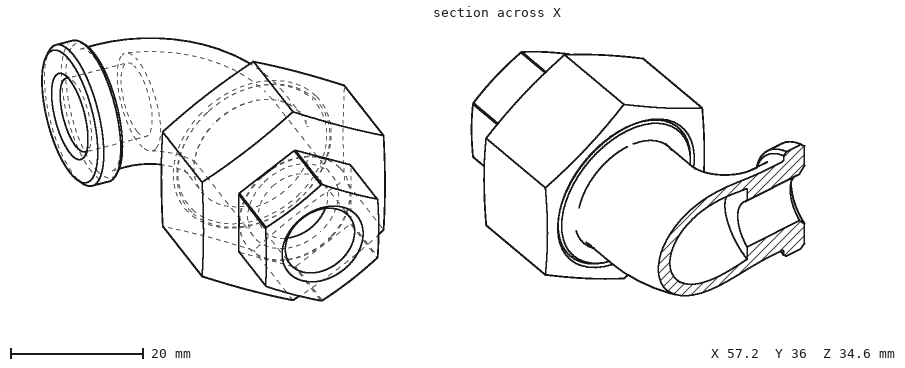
import cadquery as cq
import math

RUN_END_X = 46.2
BRANCH_END = 21.0

PIPE_RADIUS = 9.5
PASSAGE_RADIUS = 7.5
BEND_RADIUS = 14.0
WELD_FILLET = 0.35

COLLAR_RADIUS = 11.0
COLLAR_LENGTH = 4.0
COLLAR_MOUTH_CHAMFER = 0.7
COLLAR_BACK_CHAMFER = 0.5

NUT_START_X = 20.25
NUT_END_X = 35.8
NUT_ACROSS_FLATS = 30.0
NUT_CORNER_RELIEF = 0.5
GROOVE_OUTER_RADIUS = 13.05
GROOVE_ROOT_RADIUS = 12.65
GROOVE_INNER_RADIUS = 12.3

END_HEX_ACROSS_FLATS = 18.55
END_HEX_CORNER_RADIUS = 10.65
END_HEX_CORNER_RELIEF = 0.35
END_HEX_START_X = 36.0
NECK_RADIUS = 9.15

BORE_RADIUS = 5.7
BORE_LENGTH = 11.0
MOUTH_CHAMFER = 1.0


def turned_on_x(profile):
    """Revolve a closed list of (x, radius) points around the X axis."""
    return cq.Workplane("XY").polyline(profile).close().revolve(360, (0, 0, 0), (1, 0, 0))


def cylinder_on_x(start, end, radius):
    """Round bar along X."""
    return cq.Workplane("YZ", origin=(start, 0, 0)).circle(radius).extrude(end - start)


def hexagon_on_x(start, end, across_flats):
    """Hexagonal bar along X with two corners pointing up and down."""
    corner_diameter = across_flats / math.cos(math.pi / 6)
    bar = cq.Workplane("YZ").polygon(6, corner_diameter).extrude(end - start)
    return bar.rotate((0, 0, 0), (1, 0, 0), 90).translate((start, 0, 0))


def to_branch(shape):
    """Turn a shape made along +X so that it lies along -Y."""
    return shape.rotate((0, 0, 0), (0, 0, 1), -90)


def elbow(radius, branch_end, run_end):
    """Round bar swept from y = -branch_end, through the bend, to x = run_end."""
    mid = BEND_RADIUS * (1 - math.cos(math.pi / 4))
    path = (
        cq.Workplane("XY")
        .moveTo(0, -branch_end)
        .lineTo(0, -BEND_RADIUS)
        .threePointArc((mid, -mid), (BEND_RADIUS, 0))
        .lineTo(run_end, 0)
    )
    mouth = cq.Workplane("XZ", origin=(0, -branch_end, 0)).circle(radius)
    return mouth.sweep(path)


def collar():
    """Ring on the branch mouth: bevelled at the front and back edges."""
    ring = to_branch(cylinder_on_x(BRANCH_END - COLLAR_LENGTH, BRANCH_END, COLLAR_RADIUS))
    ring = ring.faces("<Y").edges().chamfer(COLLAR_MOUTH_CHAMFER)
    return ring.faces(">Y").edges().chamfer(COLLAR_BACK_CHAMFER)


def union_nut():
    """Hexagonal nut, corners bevelled at both ends, V groove in its front face."""
    face_radius = NUT_ACROSS_FLATS / 2
    corner_radius = face_radius / math.cos(math.pi / 6)
    envelope = turned_on_x([
        (NUT_START_X, 0),
        (NUT_START_X, face_radius),
        (NUT_START_X + NUT_CORNER_RELIEF, corner_radius),
        (NUT_END_X - NUT_CORNER_RELIEF, corner_radius),
        (NUT_END_X, face_radius),
        (NUT_END_X, 0),
    ])
    groove = turned_on_x([
        (NUT_START_X, GROOVE_INNER_RADIUS),
        (NUT_START_X + GROOVE_OUTER_RADIUS - GROOVE_ROOT_RADIUS, GROOVE_ROOT_RADIUS),
        (NUT_START_X, GROOVE_OUTER_RADIUS),
    ])
    return hexagon_on_x(NUT_START_X, NUT_END_X, NUT_ACROSS_FLATS).intersect(envelope).cut(groove)


def end_hexagon():
    """Hexagonal end piece with turned corners and a bevelled free end."""
    envelope = turned_on_x([
        (END_HEX_START_X, 0),
        (END_HEX_START_X, END_HEX_CORNER_RADIUS),
        (RUN_END_X - END_HEX_CORNER_RELIEF, END_HEX_CORNER_RADIUS),
        (RUN_END_X, END_HEX_ACROSS_FLATS / 2),
        (RUN_END_X, 0),
    ])
    return hexagon_on_x(END_HEX_START_X, RUN_END_X, END_HEX_ACROSS_FLATS).intersect(envelope)


def neck():
    """Round neck joining the union nut to the end hexagon."""
    return cylinder_on_x(NUT_END_X, END_HEX_START_X, NECK_RADIUS)


def weld_blend(face_distance):
    """Concave ring on the pipe, ending on a face at face_distance along X."""
    outer = PIPE_RADIUS + WELD_FILLET
    start = face_distance - WELD_FILLET
    sag = WELD_FILLET * math.sqrt(0.5)
    profile = (
        cq.Workplane("XY")
        .moveTo(start, PASSAGE_RADIUS)
        .lineTo(start, PIPE_RADIUS)
        .threePointArc((start + sag, outer - sag), (face_distance, outer))
        .lineTo(face_distance, PASSAGE_RADIUS)
        .close()
    )
    return profile.revolve(360, (0, 0, 0), (1, 0, 0))


def end_bore(end_distance):
    """Cutter for a countersunk bore whose mouth is at end_distance along X."""
    bottom = end_distance - BORE_LENGTH
    return turned_on_x([
        (bottom, 0),
        (bottom, BORE_RADIUS),
        (end_distance - MOUTH_CHAMFER, BORE_RADIUS),
        (end_distance, BORE_RADIUS + MOUTH_CHAMFER),
        (end_distance, 0),
    ])


def passage():
    """Cutter for the wide passage, stopping square where the branch bore ends."""
    bore_bottom = BRANCH_END - BORE_LENGTH
    bend = elbow(PASSAGE_RADIUS, BRANCH_END, RUN_END_X - BORE_LENGTH)
    return bend.cut(to_branch(cylinder_on_x(bore_bottom, BRANCH_END, PIPE_RADIUS)))


body = (
    elbow(PIPE_RADIUS, BRANCH_END, NUT_START_X)
    .union(collar())
    .union(union_nut())
    .union(neck())
    .union(end_hexagon())
    .union(weld_blend(NUT_START_X))
    .union(to_branch(weld_blend(BRANCH_END - COLLAR_LENGTH)))
)
result = (
    body.cut(passage())
    .cut(end_bore(RUN_END_X))
    .cut(to_branch(end_bore(BRANCH_END)))
)